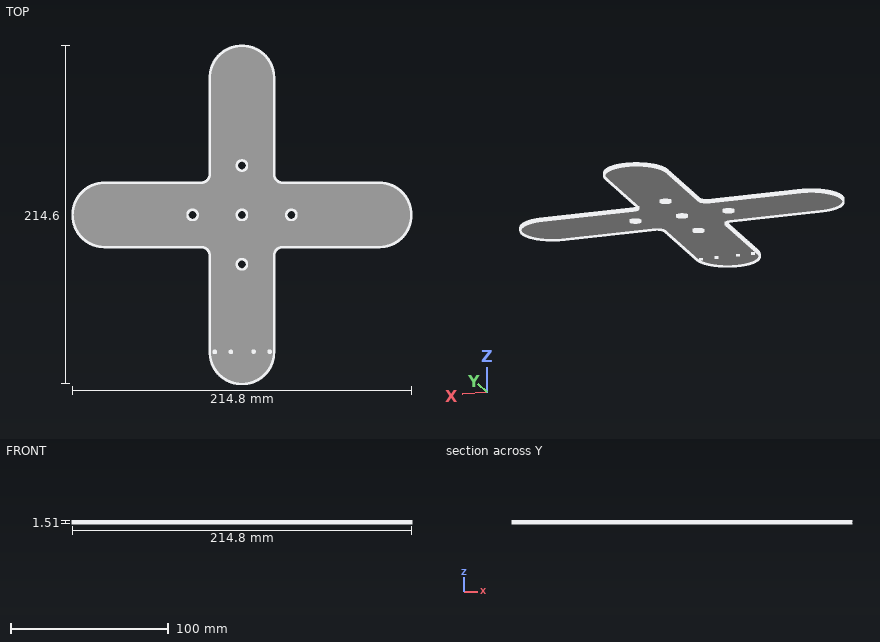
import cadquery as cq

span_x = 214.85
span_y = 214.55
thickness = 1.51
arm_width = 41.0
inner_corner_radius = 5.15

mount_hole_diameter = 6.4
mount_hole_offset = 31.3

wire_hole_diameter = 1.25
wire_hole_pitch = 10.2
wire_pair_centres = [(-12.12, -86.8), (12.45, -86.6)]


def make_arm(length, angle):
    """Flat bar with full-round ends, centred on the origin."""
    return cq.Workplane("XY").slot2D(length, arm_width, angle).extrude(thickness)


def make_cross():
    """Two crossed bars with rounded inner corners."""
    cross = make_arm(span_x, 0).union(make_arm(span_y, 90))
    half_width = arm_width / 2
    for side_x in (-1, 1):
        for side_y in (-1, 1):
            corner = (side_x * half_width, side_y * half_width, thickness / 2)
            inner_edge = cq.selectors.NearestToPointSelector(corner)
            cross = cross.edges("|Z").edges(inner_edge).fillet(inner_corner_radius)
    return cross


def cut_through_holes(body, points, diameter):
    """Drill straight through the plate at every point."""
    drills = cq.Workplane("XY").pushPoints(points).circle(diameter / 2).extrude(thickness)
    return body.cut(drills)


mount_points = [
    (0, 0),
    (mount_hole_offset, 0),
    (-mount_hole_offset, 0),
    (0, mount_hole_offset),
    (0, -mount_hole_offset),
]

wire_points = []
for centre_x, centre_y in wire_pair_centres:
    for offset in (-wire_hole_pitch / 2, wire_hole_pitch / 2):
        wire_points.append((centre_x + offset, centre_y))

result = make_cross()
result = cut_through_holes(result, mount_points, mount_hole_diameter)
result = cut_through_holes(result, wire_points, wire_hole_diameter)